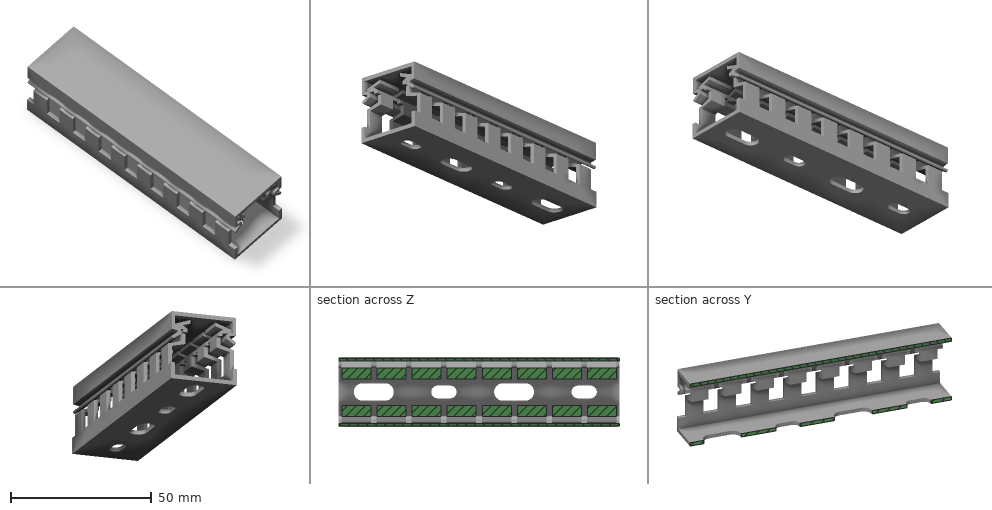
import cadquery as cq
import math


length = 100.0
width = 25.0
height = 25.0

wall = 1.5
half_width = width / 2
inner_half_width = half_width - wall
shoulder_z = 13.8
shoulder_inner_z = 13.0
neck_outer_y = 7.4
neck_inner_y = neck_outer_y - wall
neck_outer_z = 15.3
neck_inner_z = 14.2
neck_top_z = 19.3
notch_y = 7.7
notch_z = 20.5
arm_tip_y = 4.7
arm_tip_top_z = 22.8
arm_tip_bottom_z = 21.4
arm_slope = 0.34
barb_radius = 0.8

snap_z = 19.3
snap_slope = 0.1

finger_count = 8
finger_length = 6.5
slot_length = 6.0
finger_pitch = finger_length + slot_length
slot_bottom_z = 6.0
slot_top_z = 18.0
slot_mouth = 2.0

large_hole = (14.2, 6.2)
small_hole = (9.0, 4.5)
hole_sizes = [large_hole, small_hole, large_hole, small_hole]
hole_pitch = length / len(hole_sizes)

cover_half_width = 12.2
cover_inner_half_width = inner_half_width
cover_top = 1.5
skirt_bottom_z = 18.4
clip = 1.2
clip_outer_y = 9.8
clip_inner_y = clip_outer_y - clip
crease_z = 18.0
clip_bend_radius = 1.4
clip_crease_radius = 0.45
lip_angle = math.radians(33)
lip_radius = clip / 2
lip_center_y = cover_half_width - lip_radius
lip_center_z = 15.6


def snap_height(y):
    """Height of the snap face at a distance y from the middle plane."""
    return snap_z - snap_slope * (inner_half_width - y)


def mirrored(points):
    """The same points on the -Y side, in reverse order."""
    return [(-y, z) for y, z in reversed(points)]


def trunk_extrusion():
    """The trunk along its full length, before any gaps or holes are cut."""
    arm_angle = math.atan(arm_slope)
    snap_angle = math.atan(snap_slope)
    nose_y = inner_half_width - barb_radius
    nose_z = snap_height(nose_y) + barb_radius / math.cos(snap_angle)
    nose_lower = (nose_y + barb_radius * math.sin(snap_angle), nose_z - barb_radius * math.cos(snap_angle))
    nose_middle = (inner_half_width, nose_z)
    nose_upper = (nose_y + barb_radius * math.sin(arm_angle), nose_z + barb_radius * math.cos(arm_angle))

    outer = [
        (half_width, 0),
        (half_width, shoulder_z),
        (neck_outer_y, neck_outer_z),
        (neck_outer_y, snap_height(neck_outer_y)),
        nose_lower,
    ]
    inner = [
        nose_upper,
        (arm_tip_y, arm_tip_top_z),
        (arm_tip_y, arm_tip_bottom_z),
        (notch_y, notch_z),
        (neck_inner_y, neck_top_z),
        (neck_inner_y, neck_inner_z),
        (inner_half_width, shoulder_inner_z),
        (inner_half_width, wall),
    ]
    sketch = cq.Workplane("YZ").polyline(outer).threePointArc(nose_middle, nose_upper)
    for point in inner[1:] + mirrored(inner):
        sketch = sketch.lineTo(*point)
    sketch = sketch.threePointArc((-nose_middle[0], nose_middle[1]), (-nose_lower[0], nose_lower[1]))
    for point in mirrored(outer)[1:]:
        sketch = sketch.lineTo(*point)
    return sketch.close().extrude(length)


def gaps_between_fingers(gap_length, bottom_z, top_z):
    """Cutters across both walls at every finger gap, with half a gap at each end."""
    centers = [(i * finger_pitch, 0) for i in range(finger_count + 1)]
    return (
        cq.Workplane("XY", origin=(0, 0, bottom_z))
        .pushPoints(centers)
        .rect(gap_length, 2 * width)
        .extrude(top_z - bottom_z)
    )


def mounting_hole(index, hole_length, hole_width):
    """Cutter for one obround hole through the floor."""
    center_x = index * hole_pitch + hole_pitch / 2
    return cq.Workplane("XY").center(center_x, 0).slot2D(hole_length, hole_width).extrude(wall)


def make_trunk():
    """Open channel with hooked, T-headed fingers along both walls."""
    trunk = trunk_extrusion()
    trunk = trunk.cut(gaps_between_fingers(slot_length, slot_bottom_z, slot_top_z))
    trunk = trunk.cut(gaps_between_fingers(slot_mouth, slot_top_z, height))
    for index, (hole_length, hole_width) in enumerate(hole_sizes):
        trunk = trunk.cut(mounting_hole(index, hole_length, hole_width))
    return trunk


def make_cover():
    """Lid whose two skirts end in bent clips that catch under the trunk's barbs."""
    across_y = lip_radius * math.sin(lip_angle)
    across_z = lip_radius * math.cos(lip_angle)
    lip_upper = (lip_center_y + across_y, lip_center_z + across_z)
    lip_lower = (lip_center_y - across_y, lip_center_z - across_z)
    lip_middle = (lip_center_y + across_z, lip_center_z - across_y)
    lip_slope = math.tan(lip_angle)
    bend_corner = (clip_inner_y, snap_height(clip_inner_y))
    crease_corner = (clip_outer_y, crease_z)

    outer = [
        (cover_half_width, height),
        (cover_half_width, skirt_bottom_z),
        crease_corner,
        (clip_outer_y, lip_upper[1] + lip_slope * (lip_upper[0] - clip_outer_y)),
        lip_upper,
    ]
    inner = [
        lip_lower,
        (clip_inner_y, lip_lower[1] + lip_slope * (lip_lower[0] - clip_inner_y)),
        bend_corner,
        (cover_inner_half_width, snap_z),
        (cover_inner_half_width, height - cover_top),
    ]
    sketch = cq.Workplane("YZ").polyline(outer).threePointArc(lip_middle, lip_lower)
    for point in inner[1:] + mirrored(inner):
        sketch = sketch.lineTo(*point)
    sketch = sketch.threePointArc((-lip_middle[0], lip_middle[1]), (-lip_upper[0], lip_upper[1]))
    for point in mirrored(outer)[1:]:
        sketch = sketch.lineTo(*point)
    cover = sketch.close().extrude(length)

    for (y, z), radius in ((bend_corner, clip_bend_radius), (crease_corner, clip_crease_radius)):
        for side in (1, -1):
            corner = cq.NearestToPointSelector((length / 2, side * y, z))
            cover = cover.edges("|X").edges(corner).fillet(radius)
    return cover


trunk = make_trunk()
cover = make_cover()
result = cq.Compound.makeCompound([*trunk.solids().vals(), *cover.solids().vals()])